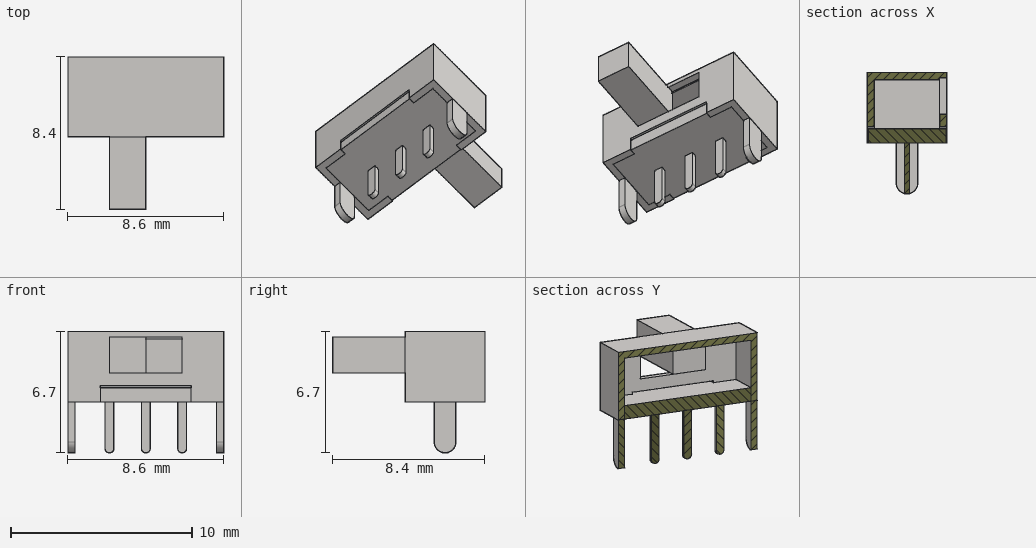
import cadquery as cq


housing_length = 8.6
housing_depth = 4.4
housing_height = 3.905
wall = 0.4

lever_width = 2.0
lever_height = 1.995
lever_reach = 4.0
lever_travel = lever_width
window_top_margin = 0.3
window_width = lever_width + lever_travel
window_center_z = housing_height - window_top_margin - lever_height / 2

notch_width = 5.0
notch_height = 0.9
base_height = 0.8
tongue_recess = 0.05

pin_length = 2.795
pin_width = 0.5
pin_thickness = 0.3
pin_pitch = 2.0
leg_width = 1.2

front_y = -housing_depth / 2
cavity_length = housing_length - 2 * wall
cavity_depth = housing_depth - 2 * wall
cavity_height = housing_height - wall
leg_x = (housing_length - wall) / 2


def block(length, depth, height):
    """Box centred on X and Y, standing on the plane Z = 0."""
    return cq.Workplane("XY").box(length, depth, height, centered=(True, True, False))


def round_tipped_blade(plane, width, thickness):
    """Flat blade hanging below Z = 0 with a fully rounded tip."""
    radius = width / 2
    tip_start = radius - pin_length
    return (
        cq.Workplane(plane)
        .moveTo(-radius, 0)
        .lineTo(-radius, tip_start)
        .threePointArc((0, -pin_length), (radius, tip_start))
        .lineTo(radius, 0)
        .close()
        .extrude(thickness / 2, both=True)
    )


def make_housing():
    """Shell open at the bottom, with a lever window and two base notches."""
    cavity = block(cavity_length, cavity_depth, cavity_height)
    notches = block(notch_width, housing_depth, notch_height)
    window = cq.Workplane("XY").box(window_width, wall, lever_height).translate(
        (0, front_y + wall / 2, window_center_z)
    )
    return block(housing_length, housing_depth, housing_height).cut(cavity).cut(notches).cut(window)


def make_base():
    """Plate closing the cavity, with tongues in the notches, set slightly back from the wall faces."""
    floor = block(cavity_length, cavity_depth, base_height)
    tongues = block(notch_width, housing_depth - 2 * tongue_recess, base_height)
    return floor.union(tongues)


def make_lever():
    """Square bar in the left half of the window, ending at the wall's inner face."""
    lever_length = lever_reach + wall
    lever_center_y = front_y + wall - lever_length / 2
    return cq.Workplane("XY").box(lever_width, lever_length, lever_height).translate(
        (-lever_travel / 2, lever_center_y, window_center_z)
    )


def make_pin(x):
    """Solder pin under the base plate."""
    return round_tipped_blade("XZ", pin_width, pin_thickness).translate((x, 0, 0))


def make_leg(x):
    """Mounting leg under an end wall, as thick as the wall."""
    return round_tipped_blade("YZ", leg_width, wall).translate((x, 0, 0))


housing = make_housing()
base = make_base()
lever = make_lever()
pins = [make_pin(x).val() for x in (-pin_pitch, 0, pin_pitch)]
legs = [make_leg(x).val() for x in (-leg_x, leg_x)]

result = cq.Compound.makeCompound([housing.val(), base.val(), lever.val(), *pins, *legs])